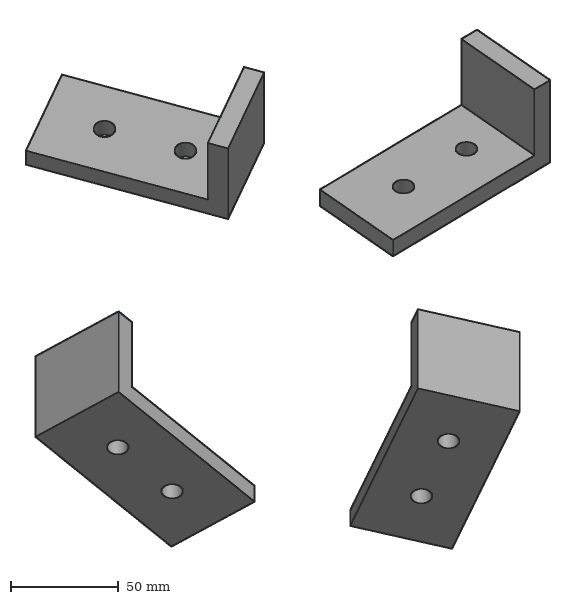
import cadquery as cq

length = 99.9
width = 49.9
height = 49.9
thickness = 10.0
hole_diameter = 10.0
hole_spacing = 39.9

base = cq.Workplane("XY").box(length, width, thickness, centered=(True, True, False))

upright = (
    cq.Workplane("XY", origin=((length - thickness) / 2, 0, thickness))
    .box(thickness, width, height - thickness, centered=(True, True, False))
)

holes = (
    cq.Workplane("XY")
    .pushPoints([(-hole_spacing / 2, 0), (hole_spacing / 2, 0)])
    .circle(hole_diameter / 2)
    .extrude(thickness)
)

result = base.union(upright).cut(holes)